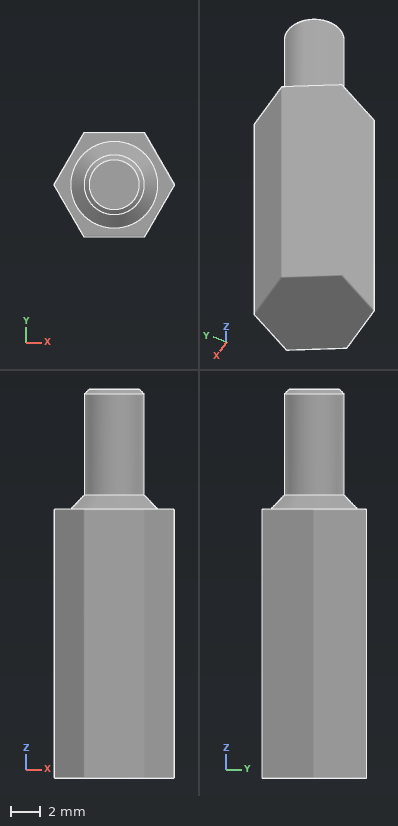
import cadquery as cq
import math

total_height = 26.0
hex_height = 18.0
across_flats = 7.0
edge_radius = 0.1
stud_diameter = 4.0
tip_chamfer = 0.35
collar_base_diameter = 5.8
collar_height = 0.94

across_corners = across_flats / math.cos(math.radians(30))
stud_radius = stud_diameter / 2
collar_base_radius = collar_base_diameter / 2
root_height = hex_height / 2


def hex_body():
    """Hexagonal prism with corners on the X axis and every edge slightly rounded."""
    prism = cq.Workplane("XY").polygon(6, across_corners).extrude(hex_height)
    return prism.edges().fillet(edge_radius)


def stud_with_collar():
    """Turned stud with a chamfered tip, rising from a conical collar on the hexagon."""
    return (
        cq.Workplane("XZ")
        .moveTo(0, root_height)
        .lineTo(collar_base_radius, root_height)
        .lineTo(collar_base_radius, hex_height)
        .lineTo(stud_radius, hex_height + collar_height)
        .lineTo(stud_radius, total_height - tip_chamfer)
        .lineTo(stud_radius - tip_chamfer, total_height)
        .lineTo(0, total_height)
        .close()
        .revolve(360, (0, 0, 0), (0, 1, 0))
    )


result = hex_body().union(stud_with_collar())